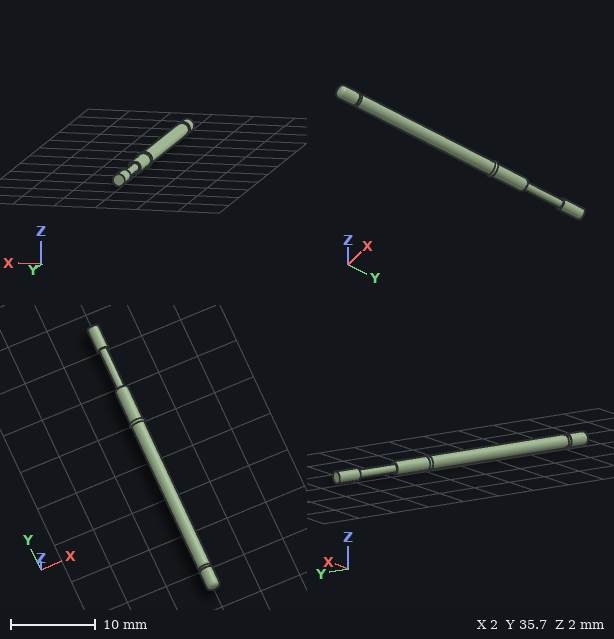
import cadquery as cq
import math


TOTAL_LENGTH = 35.7
BARREL_LENGTH = 27.38
HEAD_LENGTH = 3.0
COLLAR_CENTER = 22.65
GROOVE_START = 2.57
GROOVE_FLOOR_LENGTH = 0.32

BARREL_DIAMETER = 1.68
NOSE_DIAMETER = 1.4
COLLAR_DIAMETER = 2.0
GROOVE_DIAMETER = 1.45
PLUNGER_DIAMETER = 1.0
HEAD_DIAMETER = 1.45

EDGE_ROUND = 0.45
COLLAR_ROUND = 0.2

BARREL_RADIUS = BARREL_DIAMETER / 2


def round_reach(end_radius):
    """Axial length over which an edge round falls from the barrel surface to end_radius."""
    drop = BARREL_RADIUS - end_radius
    return math.sqrt(EDGE_ROUND**2 - (EDGE_ROUND - drop) ** 2)


def round_middle(tangent_station, end_radius, direction):
    """Middle point of an edge round that leaves the barrel surface at tangent_station.

    direction is +1 where the round runs towards the head and -1 where it runs towards the tail.
    """
    drop = BARREL_RADIUS - end_radius
    half_angle = math.acos((EDGE_ROUND - drop) / EDGE_ROUND) / 2
    station = tangent_station + direction * EDGE_ROUND * math.sin(half_angle)
    radius = BARREL_RADIUS - EDGE_ROUND * (1 - math.cos(half_angle))
    return (station, radius)


tail_flat_radius = BARREL_RADIUS - EDGE_ROUND
tail_round_end = EDGE_ROUND

groove_radius = GROOVE_DIAMETER / 2
groove_floor_end = GROOVE_START + GROOVE_FLOOR_LENGTH
groove_round_end = groove_floor_end + round_reach(groove_radius)

collar_arc_radius = COLLAR_DIAMETER / 2 - COLLAR_ROUND
collar_half_width = math.sqrt(COLLAR_ROUND**2 - (BARREL_RADIUS - collar_arc_radius) ** 2)

nose_radius = NOSE_DIAMETER / 2
nose_round_start = BARREL_LENGTH - round_reach(nose_radius)

plunger_radius = PLUNGER_DIAMETER / 2
head_radius = HEAD_DIAMETER / 2
head_start = TOTAL_LENGTH - HEAD_LENGTH

profile = (
    cq.Workplane("YZ")
    .lineTo(0, tail_flat_radius)
    .threePointArc(round_middle(tail_round_end, tail_flat_radius, -1), (tail_round_end, BARREL_RADIUS))
    .lineTo(GROOVE_START, BARREL_RADIUS)
    .lineTo(GROOVE_START, groove_radius)
    .lineTo(groove_floor_end, groove_radius)
    .threePointArc(round_middle(groove_round_end, groove_radius, -1), (groove_round_end, BARREL_RADIUS))
    .lineTo(COLLAR_CENTER - collar_half_width, BARREL_RADIUS)
    .threePointArc(
        (COLLAR_CENTER, COLLAR_DIAMETER / 2),
        (COLLAR_CENTER + collar_half_width, BARREL_RADIUS),
    )
    .lineTo(nose_round_start, BARREL_RADIUS)
    .threePointArc(round_middle(nose_round_start, nose_radius, 1), (BARREL_LENGTH, nose_radius))
    .lineTo(BARREL_LENGTH, plunger_radius)
    .lineTo(head_start, plunger_radius)
    .lineTo(head_start, head_radius)
    .lineTo(TOTAL_LENGTH, head_radius)
    .lineTo(TOTAL_LENGTH, 0)
    .close()
)

result = profile.revolve(360, (0, 0, 0), (1, 0, 0))